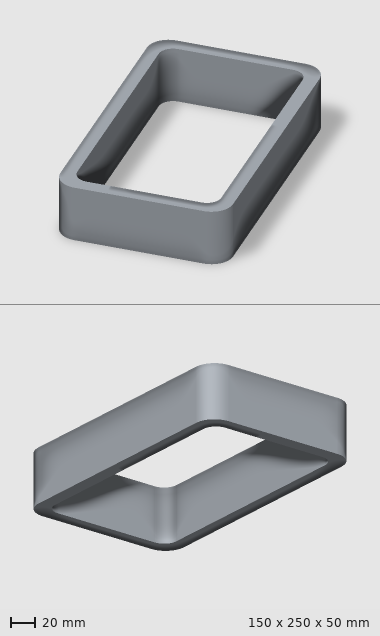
import cadquery as cq

width = 150.0
length = 250.0
height = 50.0

wall = 12.5
outer_corner_radius = 18.8
inner_corner_radius = 12.5


def rounded_block(size_x, size_y, corner_radius):
    """Full-height block with its four upright edges rounded."""
    block = cq.Workplane("XY").box(size_x, size_y, height)
    return block.edges("|Z").fillet(corner_radius)


outer_block = rounded_block(width, length, outer_corner_radius)
opening = rounded_block(width - 2 * wall, length - 2 * wall, inner_corner_radius)

result = outer_block.cut(opening)